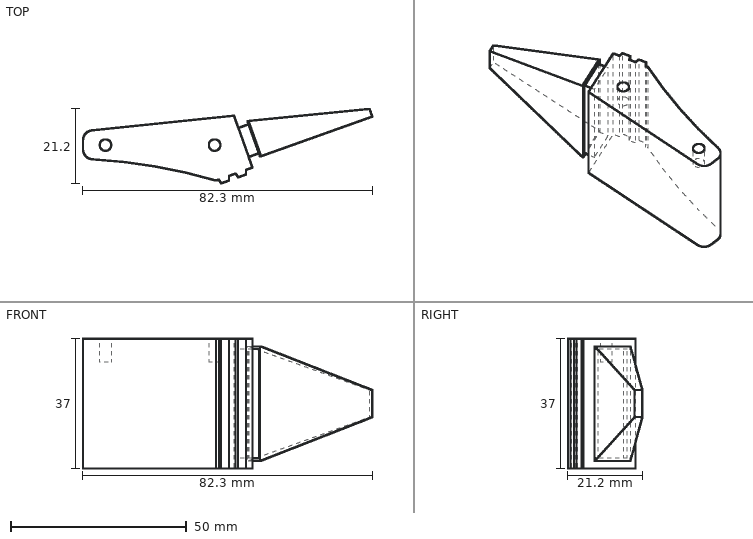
import cadquery as cq
import math

TILT = 19.6
tilt_cos = math.cos(math.radians(TILT))
tilt_sin = math.sin(math.radians(TILT))

body_height = 37.0
nose_x = -6.4
nose_half_width = 3.95
nose_radius = 2.9
shoulder = (36.55, 8.4)
end_face_length = 15.7
belly_end = (31.45, -10.1)
belly_radius = 156.4

tooth_count = 2
tooth_pitch = 5.1
tooth_floor = 2.0
tooth_drop = 1.3
tooth_land = 2.4

pin_diameter = 3.3
pin_depth = 6.6
pin_spacing = 31.0

neck_length = 3.05
neck_inset_across = 1.0
neck_inset_height = 0.7
neck_overlap = 0.8
blade_length = 33.9
blade_offset = 2.7
blade_root_width = 10.8
blade_tip_width = 2.4
blade_root_height = 32.5
blade_tip_height = 7.7
blade_lip = 0.3


def move_along_tilt(point, distance):
    """Shift a point along the tilted axis."""
    return (point[0] + distance * tilt_cos, point[1] + distance * tilt_sin)


def tooth_points(corner):
    """Outline of the teeth, from the end-face corner back to the belly."""
    points = [corner]
    for index in range(tooth_count):
        root = move_along_tilt(corner, -index * tooth_pitch - tooth_floor)
        heel = (root[0], root[1] - tooth_drop)
        toe = move_along_tilt(heel, -tooth_land)
        next_floor = move_along_tilt(corner, -(index + 1) * tooth_pitch)
        points += [root, heel, toe, next_floor]
    return points


def make_body():
    corner = (
        shoulder[0] + end_face_length * tilt_sin,
        shoulder[1] - end_face_length * tilt_cos,
    )
    body = (
        cq.Workplane("XY")
        .workplane(offset=-body_height / 2)
        .moveTo(nose_x, -nose_half_width)
        .lineTo(nose_x, nose_half_width)
        .lineTo(*shoulder)
    )
    for point in tooth_points(corner):
        body = body.lineTo(*point)
    chord = math.hypot(belly_end[0] - nose_x, belly_end[1] + nose_half_width)
    belly_sagitta = belly_radius - math.sqrt(belly_radius**2 - (chord / 2) ** 2)
    body = (
        body.lineTo(*belly_end)
        .sagittaArc((nose_x, -nose_half_width), -belly_sagitta)
        .close()
        .extrude(body_height)
    )
    body = body.edges("|Z and <X").fillet(nose_radius)
    pins = (
        cq.Workplane("XY")
        .workplane(offset=body_height / 2)
        .pushPoints([(0, 0), (pin_spacing, 0)])
        .circle(pin_diameter / 2)
        .extrude(-pin_depth)
    )
    return body.cut(pins)


def make_neck():
    """Block joining body and blade, along X from the shoulder."""
    length = neck_length + 2 * neck_overlap
    width = blade_root_width - 2 * neck_inset_across
    height = blade_root_height - 2 * neck_inset_height
    return cq.Workplane("XY").box(length, width, height).translate(
        (neck_length / 2, -blade_offset - blade_root_width / 2, 0)
    )


def make_blade():
    """Wedge tapering in width and height, along X from the shoulder."""
    root_x = neck_length
    tip_x = root_x + blade_length
    bottom_y = -blade_offset - blade_root_width
    width_profile = (
        cq.Workplane("XY")
        .polyline([
            (root_x, bottom_y),
            (tip_x, bottom_y),
            (tip_x, bottom_y + blade_tip_width),
            (root_x, -blade_offset),
        ])
        .close()
        .extrude(blade_root_height / 2, both=True)
    )
    half_root = blade_root_height / 2
    half_tip = blade_tip_height / 2
    height_profile = (
        cq.Workplane("XZ")
        .polyline([
            (root_x, -half_root),
            (root_x + blade_lip, -half_root),
            (tip_x, -half_tip),
            (tip_x, half_tip),
            (root_x + blade_lip, half_root),
            (root_x, half_root),
        ])
        .close()
        .extrude(-bottom_y)
    )
    return width_profile.intersect(height_profile)


tilted_end = (
    make_neck()
    .union(make_blade())
    .rotate((0, 0, 0), (0, 0, 1), TILT)
    .translate((shoulder[0], shoulder[1], 0))
)
result = make_body().union(tilted_end)